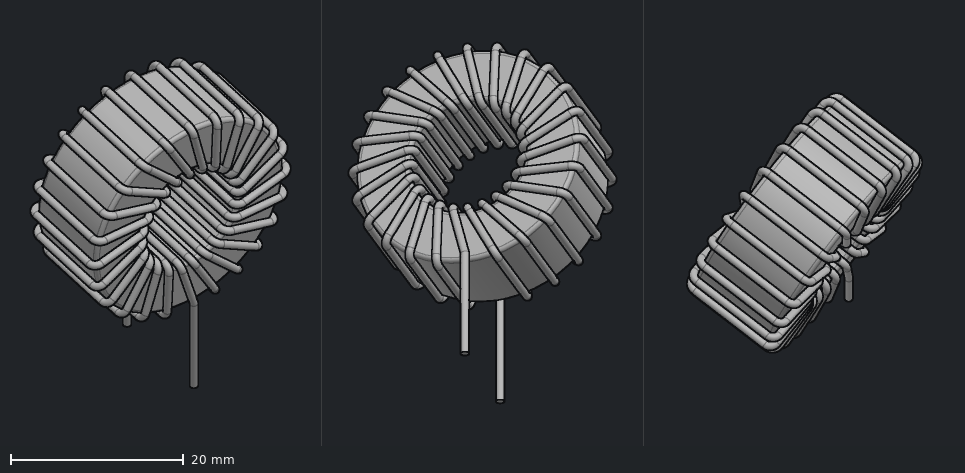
import cadquery as cq
import math


CORE_OUTER_D = 27.1
CORE_INNER_D = 14.3
CORE_WIDTH = 11.3
CORE_FILLET = 0.5

WIRE_D = 1.0
POSITIONS = 24
LEAD_KINK_Z = -13.05

TOTAL_HEIGHT = 40.65
LEAD_SPAN = 14.0

WIRE_R = WIRE_D / 2
OUTER_RUN_R = CORE_OUTER_D / 2 + WIRE_R
INNER_RUN_R = CORE_INNER_D / 2 - WIRE_R
FACE_RUN_X = CORE_WIDTH / 2 + WIRE_R
BEND_R = CORE_FILLET + WIRE_R
LEAD_CENTRE_X = LEAD_SPAN / 2 - WIRE_R
LEAD_END_Z = OUTER_RUN_R + WIRE_R - TOTAL_HEIGHT
PITCH = 2 * math.pi / POSITIONS
BOTTOM = -math.pi / 2


def make_core():
    """Ring with all four circular edges rounded."""
    return (
        cq.Workplane("YZ", origin=(-CORE_WIDTH / 2, 0, 0))
        .circle(CORE_OUTER_D / 2)
        .circle(CORE_INNER_D / 2)
        .extrude(CORE_WIDTH)
        .edges("%CIRCLE")
        .fillet(CORE_FILLET)
    )


def ring_point(x, radius, position):
    """Point at a wire position, counted from the bottom turning from +Y to +Z."""
    angle = BOTTOM + position * PITCH
    return cq.Vector(x, radius * math.cos(angle), radius * math.sin(angle))


def winding_corners():
    """Sharp corners of the winding, from the -X lead to the +X lead."""
    corners = [
        ring_point(-FACE_RUN_X, INNER_RUN_R, 0),
        ring_point(FACE_RUN_X, INNER_RUN_R, 0),
    ]
    for position in range(1, POSITIONS):
        corners += [
            ring_point(FACE_RUN_X, OUTER_RUN_R, position),
            ring_point(-FACE_RUN_X, OUTER_RUN_R, position),
            ring_point(-FACE_RUN_X, INNER_RUN_R, position),
            ring_point(FACE_RUN_X, INNER_RUN_R, position),
        ]
    return corners


def bend_at(previous, corner, following):
    """Arc of radius BEND_R that rounds one corner: its start, middle and end points."""
    back = (previous - corner).normalized()
    ahead = (following - corner).normalized()
    half_angle = back.getAngle(ahead) / 2
    setback = BEND_R / math.tan(half_angle)
    middle_distance = BEND_R / math.sin(half_angle) - BEND_R
    bisector = (back + ahead).normalized()
    return corner + back * setback, corner + bisector * middle_distance, corner + ahead * setback


def wire_path():
    """Centre line of the whole wire: straight runs joined by tangent bends."""
    first_kink = cq.Vector(-LEAD_CENTRE_X, 0, LEAD_KINK_Z)
    last_kink = cq.Vector(LEAD_CENTRE_X, 0, LEAD_KINK_Z)
    lead_start = cq.Vector(-LEAD_CENTRE_X, 0, LEAD_END_Z)
    lead_end = cq.Vector(LEAD_CENTRE_X, 0, LEAD_END_Z)

    corners = [first_kink, *winding_corners(), last_kink]
    edges = [cq.Edge.makeLine(lead_start, first_kink)]
    run_start = first_kink
    for previous, corner, following in zip(corners, corners[1:], corners[2:]):
        bend_start, bend_middle, bend_end = bend_at(previous, corner, following)
        edges.append(cq.Edge.makeLine(run_start, bend_start))
        edges.append(cq.Edge.makeThreePointArc(bend_start, bend_middle, bend_end))
        run_start = bend_end
    edges.append(cq.Edge.makeLine(run_start, last_kink))
    edges.append(cq.Edge.makeLine(last_kink, lead_end))
    return cq.Wire.assembleEdges(edges)


def make_winding():
    """One round wire swept along its centre line, mitred where the leads turn down."""
    return (
        cq.Workplane("XY", origin=(-LEAD_CENTRE_X, 0, LEAD_END_Z))
        .circle(WIRE_R)
        .sweep(cq.Workplane(obj=wire_path()), transition="right")
    )


core = make_core()
winding = make_winding()

result = cq.Compound.makeCompound([core.val(), winding.val()])